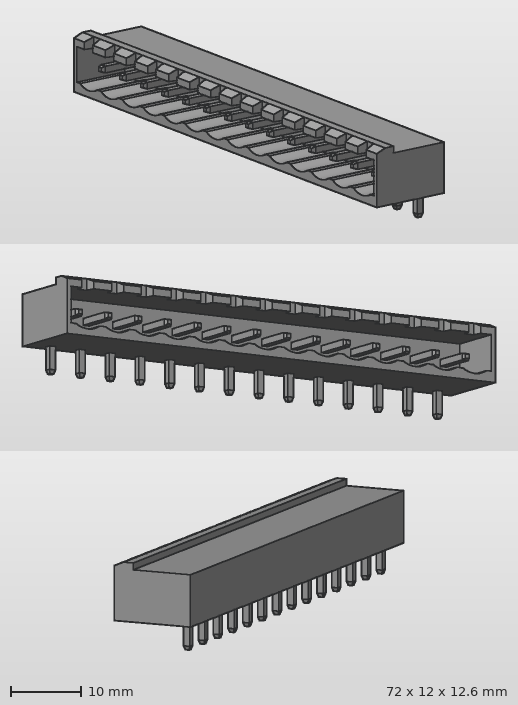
import cadquery as cq


pin_count = 14
pitch = 5.0
end_margin = 3.5
pin_xs = [(i - (pin_count - 1) / 2) * pitch for i in range(pin_count)]

length = (pin_count - 1) * pitch + 2 * end_margin
depth = 12.0
roof_height = 7.6
lip_height = 8.6
lip_depth = 3.0
slope_depth = 1.5
slope_front_height = 8.0

end_wall = 0.7
cavity_depth = 8.5
floor_height = 1.6
ceiling_height = 6.9
scallop_width = 4.0
scallop_sag = 0.6

notch_back_width = 1.5
notch_front_width = 2.0

pin_size = 1.0
pin_tip_size = 0.6
pin_taper = 0.6
pin_height = 3.8
pin_recess = 2.0
leg_inset = 2.0
leg_y = depth - leg_inset
leg_length = 4.0


def make_housing():
    """Side profile with the raised, sloped lip, extruded along the row."""
    profile = [
        (0, 0),
        (depth, 0),
        (depth, roof_height),
        (lip_depth, roof_height),
        (lip_depth, lip_height),
        (slope_depth, lip_height),
        (0, slope_front_height),
    ]
    return cq.Workplane("YZ").polyline(profile).close().extrude(length / 2, both=True)


def make_cavity():
    """Plug opening whose floor dips in a shallow arc below each pin."""
    half_width = length / 2 - end_wall
    half_scallop = scallop_width / 2
    outline = cq.Workplane("XZ").moveTo(-half_width, floor_height)
    for x in pin_xs:
        outline = outline.lineTo(x - half_scallop, floor_height).threePointArc(
            (x, floor_height - scallop_sag), (x + half_scallop, floor_height)
        )
    outline = (
        outline.lineTo(half_width, floor_height)
        .lineTo(half_width, ceiling_height)
        .lineTo(-half_width, ceiling_height)
        .close()
    )
    return outline.extrude(-cavity_depth)


def make_notch(x):
    """Notch from the cavity up through the lip, widening towards the front."""
    outline = [
        (x - notch_front_width / 2, 0),
        (x + notch_front_width / 2, 0),
        (x + notch_back_width / 2, slope_depth),
        (x - notch_back_width / 2, slope_depth),
    ]
    return (
        cq.Workplane("XY", origin=(0, 0, ceiling_height))
        .polyline(outline)
        .close()
        .extrude(lip_height - ceiling_height)
    )


def make_prong(plane, length_to_tip):
    """Square bar along the plane normal, ending in a tapered tip."""
    shank_length = length_to_tip - pin_taper
    shank = cq.Workplane(plane).rect(pin_size, pin_size).extrude(shank_length)
    tip = (
        cq.Workplane(plane)
        .workplane(offset=shank_length)
        .rect(pin_size, pin_size)
        .workplane(offset=pin_taper)
        .rect(pin_tip_size, pin_tip_size)
        .loft()
    )
    return shank.union(tip)


def make_pin(x):
    """Contact prong inside the cavity and the solder leg below the housing."""
    bend = (x, leg_y, pin_height)
    contact = make_prong(cq.Plane(bend, xDir=(1, 0, 0), normal=(0, -1, 0)), leg_y - pin_recess)
    leg = make_prong(cq.Plane(bend, xDir=(1, 0, 0), normal=(0, 0, -1)), pin_height + leg_length)
    return contact.union(leg)


result = make_housing().cut(make_cavity())
for pin_x in pin_xs:
    result = result.cut(make_notch(pin_x))
for pin_x in pin_xs:
    result = result.union(make_pin(pin_x))